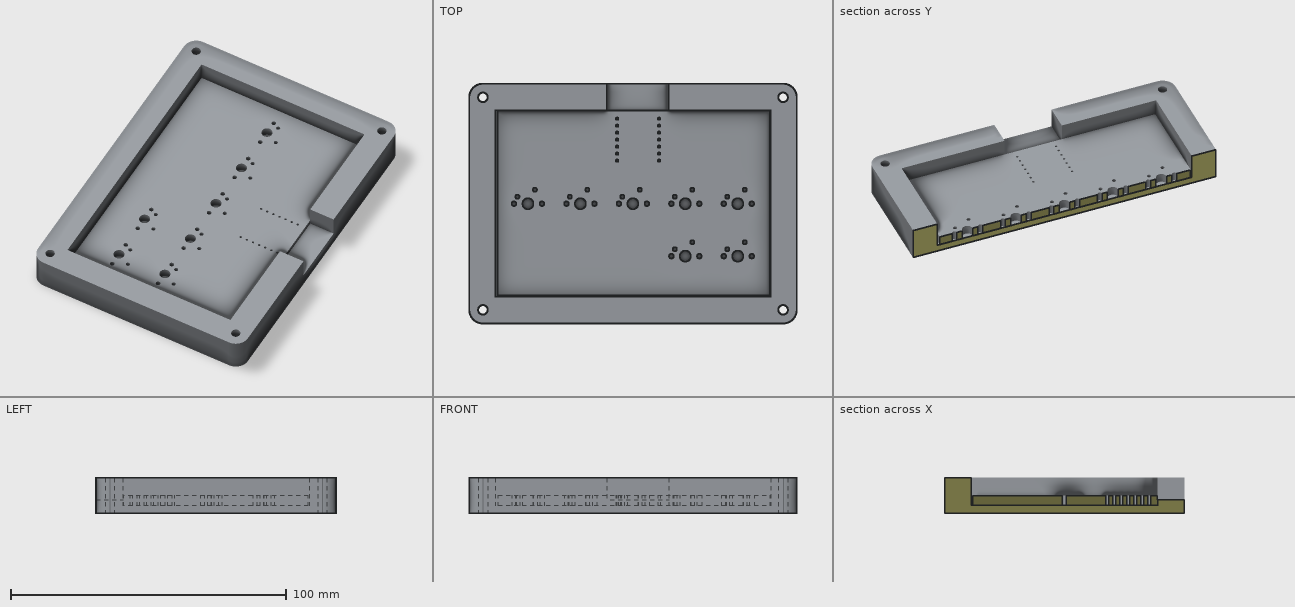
import cadquery as cq

CASE_LENGTH = 119.02
CASE_WIDTH = 87.17
CASE_HEIGHT = 13.0
CORNER_RADIUS = 5.0
FLOOR_THICKNESS = 3.0
POCKET_LENGTH = 100.0
POCKET_WIDTH = 67.7
NOTCH_LENGTH = 22.5
NOTCH_CENTER_X = 1.7
NOTCH_FLOOR_Z = 5.0
SCREW_HOLE_DIAMETER = 3.4
SCREW_HOLE_INSET = 5.0

BOARD_THICKNESS = 3.6
BOARD_GAP_LEFT = 0.9
BOARD_GAP_RIGHT = 0.4
BOARD_GAP_FRONT = 0.5
BOARD_GAP_BACK = 0.1

KEY_PITCH = 19.05
FIRST_KEY_X = -38.15
FIRST_KEY_Y = -0.05
KEY_CELLS = [(column, 0) for column in range(5)] + [(column, 1) for column in (3, 4)]
HOLE_GRID = 1.27
STEM_HOLE_DIAMETER = 4.0
PEG_HOLE_DIAMETER = 1.7
PEG_OFFSETS = [(-4 * HOLE_GRID, 0), (4 * HOLE_GRID, 0)]
CONTACT_HOLE_DIAMETER = 1.5
CONTACT_OFFSETS = [(-3 * HOLE_GRID, 2 * HOLE_GRID), (2 * HOLE_GRID, 4 * HOLE_GRID)]

PIN_HOLE_DIAMETER = 0.89
PINS_PER_ROW = 7
PIN_PITCH = 2 * HOLE_GRID
PIN_ROW_SPACING = 12 * HOLE_GRID
CONTROLLER_X = 1.85
CONTROLLER_Y = 23.2


def make_case():
    case = cq.Workplane("XY").box(CASE_LENGTH, CASE_WIDTH, CASE_HEIGHT, centered=(True, True, False))
    case = case.edges("|Z").fillet(CORNER_RADIUS)

    pocket = (
        cq.Workplane("XY", origin=(0, 0, FLOOR_THICKNESS))
        .box(POCKET_LENGTH, POCKET_WIDTH, CASE_HEIGHT - FLOOR_THICKNESS, centered=(True, True, False))
    )

    notch = (
        cq.Workplane("XY", origin=(NOTCH_CENTER_X, 0, NOTCH_FLOOR_Z))
        .box(NOTCH_LENGTH, CASE_WIDTH / 2, CASE_HEIGHT - NOTCH_FLOOR_Z, centered=(True, False, False))
    )

    screw_holes = (
        cq.Workplane("XY")
        .rect(CASE_LENGTH - 2 * SCREW_HOLE_INSET, CASE_WIDTH - 2 * SCREW_HOLE_INSET, forConstruction=True)
        .vertices()
        .circle(SCREW_HOLE_DIAMETER / 2)
        .extrude(CASE_HEIGHT)
    )
    return case.cut(pocket).cut(notch).cut(screw_holes)


def key_centers():
    return [(FIRST_KEY_X + column * KEY_PITCH, FIRST_KEY_Y - row * KEY_PITCH) for column, row in KEY_CELLS]


def offset_from_keys(offsets):
    return [(x + dx, y + dy) for x, y in key_centers() for dx, dy in offsets]


def board_holes(points, diameter):
    return (
        cq.Workplane("XY", origin=(0, 0, FLOOR_THICKNESS))
        .pushPoints(points)
        .circle(diameter / 2)
        .extrude(BOARD_THICKNESS)
    )


def controller_pins():
    pins = []
    for side in (-1, 1):
        for index in range(PINS_PER_ROW):
            x = CONTROLLER_X + side * PIN_ROW_SPACING / 2
            y = CONTROLLER_Y + (index - (PINS_PER_ROW - 1) / 2) * PIN_PITCH
            pins.append((x, y))
    return pins


def make_board():
    left = -POCKET_LENGTH / 2 + BOARD_GAP_LEFT
    right = POCKET_LENGTH / 2 - BOARD_GAP_RIGHT
    front = -POCKET_WIDTH / 2 + BOARD_GAP_FRONT
    back = POCKET_WIDTH / 2 - BOARD_GAP_BACK
    board = (
        cq.Workplane("XY", origin=(left, front, FLOOR_THICKNESS))
        .box(right - left, back - front, BOARD_THICKNESS, centered=False)
    )
    board = board.cut(board_holes(key_centers(), STEM_HOLE_DIAMETER))
    board = board.cut(board_holes(offset_from_keys(PEG_OFFSETS), PEG_HOLE_DIAMETER))
    board = board.cut(board_holes(offset_from_keys(CONTACT_OFFSETS), CONTACT_HOLE_DIAMETER))
    return board.cut(board_holes(controller_pins(), PIN_HOLE_DIAMETER))


case = make_case()
board = make_board()

result = cq.Compound.makeCompound([case.val(), board.val()])